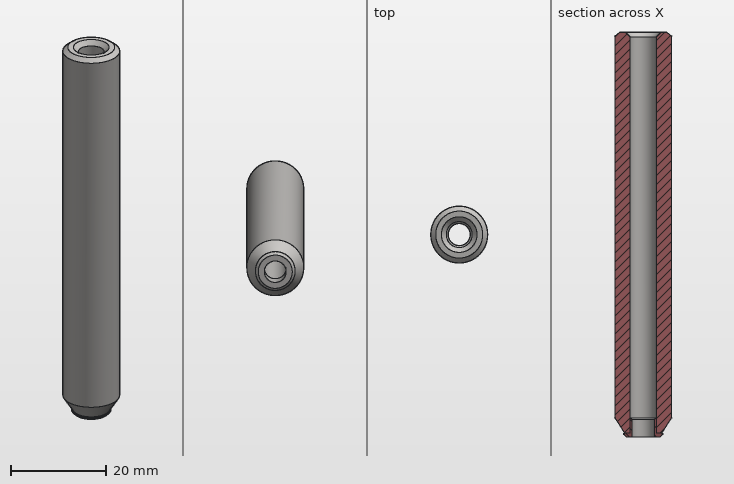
import cadquery as cq

LENGTH = 85.0
OUTER_RADIUS = 12.0 / 2

TOP_CHAMFER_HEIGHT = 0.85
TOP_FACE_RADIUS = 4.9

TAPER_TOP = 4.0
TIP_RADIUS = 3.9

COUNTERSINK_RADIUS = 3.7
COUNTERSINK_DEPTH = 1.0
BORE_RADIUS = 2.7

FLANGE_RADIUS = 4.2
FLANGE_HEIGHT = 0.8
FLANGE_CHAMFER = 0.6
SPIGOT_TOP = TAPER_TOP
HOLE_RADIUS = 2.3
LEAD_IN_DEPTH = 0.25


def revolve_profile(points):
    """Revolve a closed (radius, height) outline about the Z axis."""
    return cq.Workplane("XZ").polyline(points).close().revolve(360, (0, 0, 0), (0, 1, 0))


def make_sleeve():
    """Long tube with a chamfered, countersunk top and a tapered tip."""
    return revolve_profile([
        (BORE_RADIUS, FLANGE_HEIGHT),
        (TIP_RADIUS, FLANGE_HEIGHT),
        (OUTER_RADIUS, TAPER_TOP),
        (OUTER_RADIUS, LENGTH - TOP_CHAMFER_HEIGHT),
        (TOP_FACE_RADIUS, LENGTH),
        (COUNTERSINK_RADIUS, LENGTH),
        (BORE_RADIUS, LENGTH - COUNTERSINK_DEPTH),
    ])


def make_bush():
    """Flanged bush filling the lower end of the bore, with a conical lead-in on top."""
    return revolve_profile([
        (HOLE_RADIUS, 0),
        (FLANGE_RADIUS - FLANGE_CHAMFER, 0),
        (FLANGE_RADIUS, FLANGE_CHAMFER),
        (FLANGE_RADIUS, FLANGE_HEIGHT),
        (BORE_RADIUS, FLANGE_HEIGHT),
        (BORE_RADIUS, SPIGOT_TOP),
        (HOLE_RADIUS, SPIGOT_TOP - LEAD_IN_DEPTH),
    ])


sleeve = make_sleeve()
bush = make_bush()

result = cq.Compound.makeCompound([sleeve.val(), bush.val()])